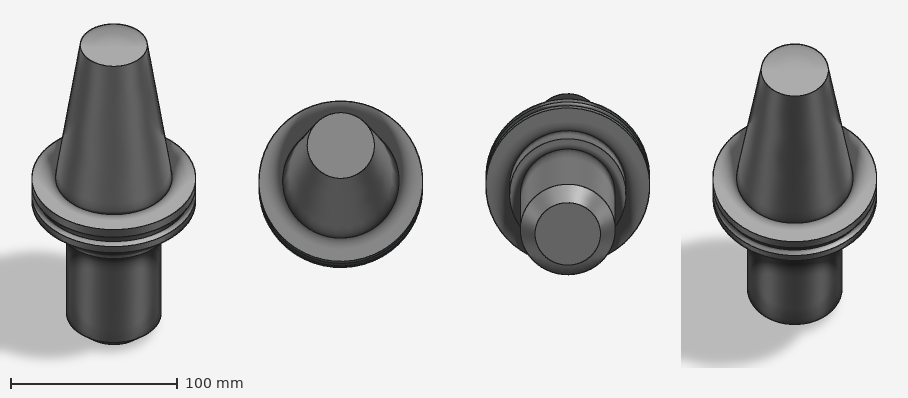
import cadquery as cq

total_length = 216.0

taper_length = 101.5
gauge_radius = 35.0
taper_rate = 7 / 24
taper_tip_radius = gauge_radius - taper_length * taper_rate / 2

gauge_land = 1.3
flange_radius = 49.2
upper_lip_height = 5.8
groove_floor_radius = 46.0
groove_upper_slope = 2.0
groove_floor_height = 4.0
groove_lower_slope = 1.3
lower_lip_height = 4.7

collar_height = 16.2
nose_radius = 28.5
nose_chamfer = 8.9

gauge_z = total_length - taper_length
flange_top_z = gauge_z - gauge_land
groove_top_z = flange_top_z - upper_lip_height
groove_floor_top_z = groove_top_z - groove_upper_slope
groove_floor_bottom_z = groove_floor_top_z - groove_floor_height
groove_bottom_z = groove_floor_bottom_z - groove_lower_slope
flange_bottom_z = groove_bottom_z - lower_lip_height
collar_bottom_z = flange_bottom_z - collar_height

half_section = [
    (0, 0),
    (nose_radius - nose_chamfer, 0),
    (nose_radius, nose_chamfer),
    (nose_radius, collar_bottom_z),
    (gauge_radius, collar_bottom_z),
    (gauge_radius, flange_bottom_z),
    (flange_radius, flange_bottom_z),
    (flange_radius, groove_bottom_z),
    (groove_floor_radius, groove_floor_bottom_z),
    (groove_floor_radius, groove_floor_top_z),
    (flange_radius, groove_top_z),
    (flange_radius, flange_top_z),
    (gauge_radius, flange_top_z),
    (gauge_radius, gauge_z),
    (taper_tip_radius, total_length),
    (0, total_length),
]

result = cq.Workplane("XZ").polyline(half_section).close().revolve(360, (0, 0), (0, 1))